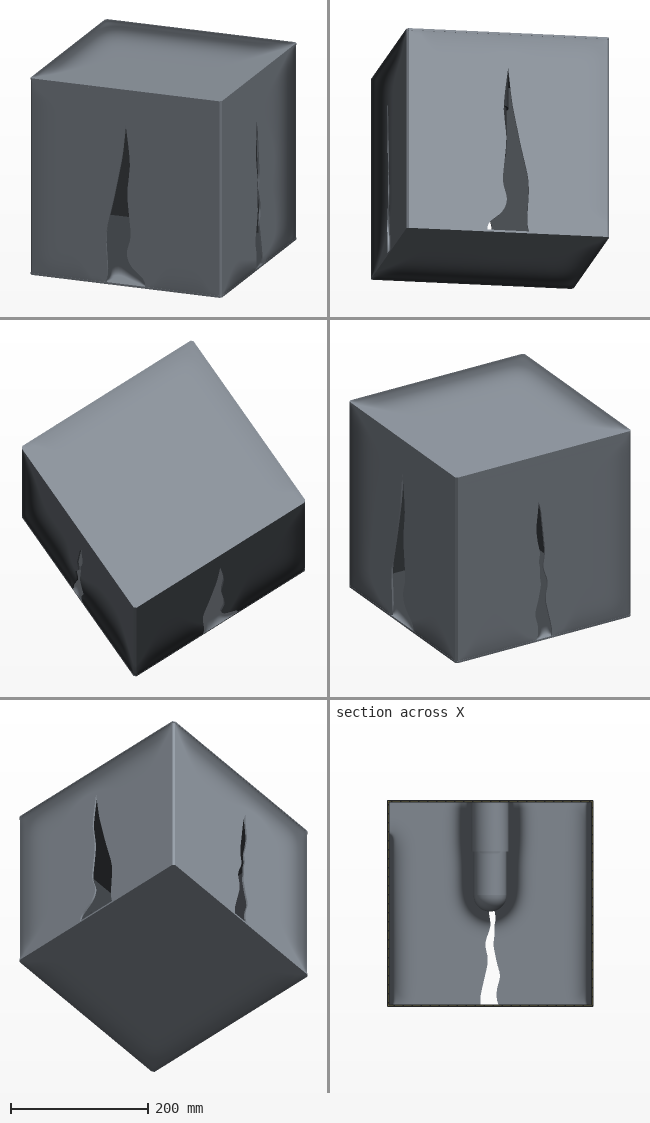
import cadquery as cq

side = 300.0
height = 301.0
wall = 3.0
corner_chamfer = 3.0
wall_recess = 0.3
inner_top = height - wall

bulb_radius = 24.0
bulb_shoulder = 225.8
bulb_equator = 162.5
socket_radius = 27.0

seam_half_width = 0.15
seam_bottom = 246.8

wide_crack_left = [
    (-30.7, wall), (-28.3, 24.7), (-28.5, 33), (-30.7, 61.7), (-30, 79.2), (-23.2, 113.0),
    (-16.0, 144.5), (-11.0, 167.5), (-5.7, 197.5), (-2.5, 225.8), (-seam_half_width, seam_bottom),
]
wide_crack_right = [
    (30.7, wall), (26.0, 16.0), (15.5, 24.7), (7.5, 33), (2.7, 44.0), (2.0, 53.0),
    (6.5, 70.5), (6.5, 96.3), (4.0, 121.5), (2.7, 144.5), (4.8, 165.5), (6.5, 185.0),
    (4.8, 209.8), (2.7, 228.8), (seam_half_width, seam_bottom),
]
narrow_crack_tip = (-9.3, 227.3)
narrow_crack_left = [
    (13.5, wall), (14.0, 11.0), (11.5, 27), (7.0, 47.0), (3.5, 63.0), (4.0, 74.3), (6.5, 88.8),
    (4.8, 100.2), (-0.5, 119.0), (1.5, 136.0), (0, 167.7), (-2.5, 190.5), (-5.0, 212.0),
    narrow_crack_tip,
]
narrow_crack_right = [
    (-12.3, wall), (-9.5, 15.5), (-11.0, 29.8), (-14.5, 44.2), (-11.0, 60.0), (-7.0, 78.5),
    (-5.0, 93.0), (-6.5, 104.5), (-6.5, 119.0), (-8.0, 127.3), (-6.5, 140.3), (-8.7, 153.2),
    (-11.5, 167.7), (-12.5, 184.8), (-11.0, 200.5), narrow_crack_tip,
]


def crack_cutter(plane, left_edge, right_edge):
    """Prism through both opposite walls, bounded by two smooth crack edges."""
    outline = cq.Workplane(plane).moveTo(*left_edge[0])
    outline = outline.spline(left_edge[1:], includeCurrent=True)
    if left_edge[-1] != right_edge[-1]:
        outline = outline.lineTo(*right_edge[-1])
    outline = outline.spline(right_edge[-2::-1], includeCurrent=True).close()
    return outline.extrude(side, both=True)


def square_block(width, chamfer, bottom, block_height):
    """Square block with chamfered upright corners."""
    block = cq.Workplane("XY").workplane(offset=bottom).rect(width, width).extrude(block_height)
    return block.edges("|Z").chamfer(chamfer)


def hollow_box():
    """Closed box whose walls stand slightly inside the top and bottom plates."""
    wall_height = height - 2 * wall
    wall_side = side - 2 * wall_recess
    inner_side = side - 2 * wall
    cavity = cq.Workplane("XY").workplane(offset=wall).rect(inner_side, inner_side).extrude(wall_height)
    walls = square_block(wall_side, corner_chamfer, wall, wall_height).cut(cavity)
    floor_plate = square_block(side, corner_chamfer, 0, wall)
    top_plate = square_block(side, corner_chamfer, inner_top, wall)
    return walls.union(floor_plate).union(top_plate)


def bulb():
    """Bulb with its socket, turned about the upright centre line."""
    half_profile = (
        cq.Workplane("XZ")
        .moveTo(0, height - wall / 2)
        .lineTo(socket_radius, height - wall / 2)
        .lineTo(socket_radius, bulb_shoulder)
        .lineTo(bulb_radius, bulb_shoulder)
        .lineTo(bulb_radius, bulb_equator)
        .radiusArc((0, bulb_equator - bulb_radius), bulb_radius)
        .close()
    )
    return half_profile.revolve(360, (0, 0, 0), (0, 1, 0))


def seam_cutter():
    """Hairline slit through the wall above the wide crack, on the -Y side."""
    seam_height = inner_top - seam_bottom
    slit = cq.Workplane("XY").box(2 * seam_half_width, 2 * wall, seam_height)
    return slit.translate((0, -side / 2, seam_bottom + seam_height / 2))


shell = hollow_box()
shell = shell.cut(crack_cutter("XZ", wide_crack_left, wide_crack_right))
shell = shell.cut(crack_cutter("YZ", narrow_crack_left, narrow_crack_right))
shell = shell.cut(seam_cutter())
result = shell.union(bulb())